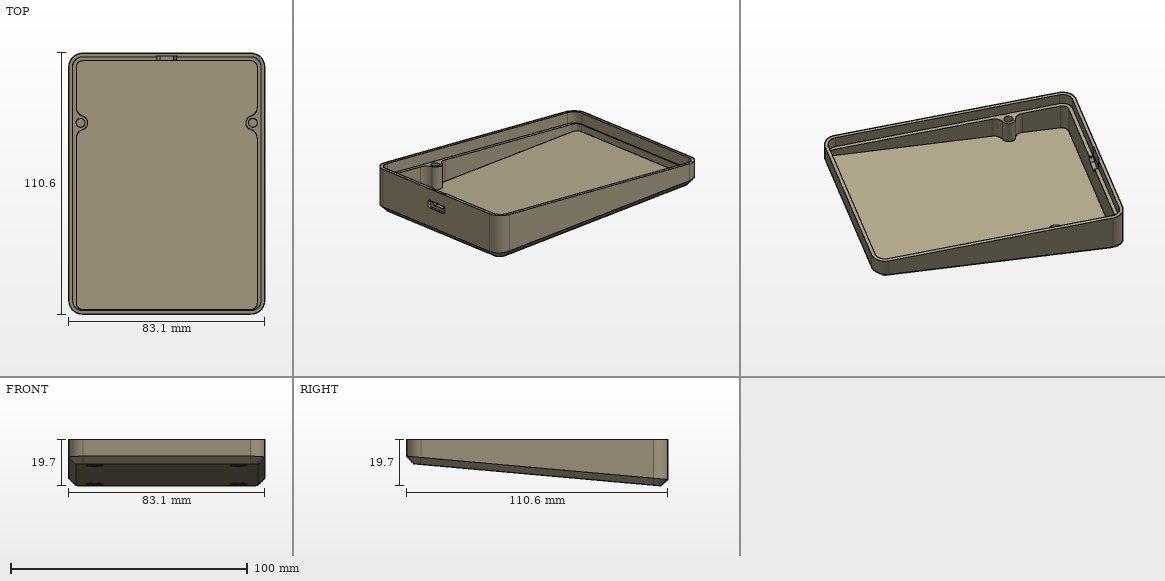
import cadquery as cq
import math

WIDTH = 83.1
LENGTH = 110.6
HEIGHT = 19.7
CORNER_RADIUS = 6.0
TILT = 5.1
CHAMFER = 3.0

RIM_WALL = 1.5
SIDE_WALL = 3.2
FRONT_WALL = 2.0
LEDGE_DEPTH = 5.0
FLOOR_THICKNESS = 2.1

BOSS_RADIUS = 3.0
BOSS_HOLE_DIAMETER = 3.8
BOSS_HOLE_BOTTOM = 13.3
BOSS_X = 36.5
BOSS_Y = 25.8
BOSS_BLEND_RADIUS = 4.0

PORT_WIDTH = 8.4
RELIEF_BOTTOM = 7.3
PORT_CHAMFER = 1.3
PORT_SKIN = 1.2
PORT_CLEARANCE = 1.1
PLUG_WIDTH = 11.1
PLUG_TOP = 5.3
PLUG_BOTTOM = 8.6
PLUG_RADIUS = 0.9

FOOT_DIAMETER = 7.0
FOOT_DEPTH = 0.3
FOOT_INSET = 11.1

SLOPE = math.tan(math.radians(TILT))
BACK_Y = LENGTH / 2
BACK_DEPTH = HEIGHT + CHAMFER * math.sin(math.radians(TILT))
MID_DEPTH = BACK_DEPTH - SLOPE * BACK_Y
FLOOR_MID_DEPTH = MID_DEPTH - FLOOR_THICKNESS / math.cos(math.radians(TILT))
TALL = 2 * HEIGHT


def above_slope(mid_depth):
    """Space below the rim plane and above a tilted plane at mid_depth under the origin."""
    return (
        cq.Workplane("YZ")
        .polyline([
            (-LENGTH, 0),
            (LENGTH, 0),
            (LENGTH, -mid_depth - SLOPE * LENGTH),
            (-LENGTH, -mid_depth + SLOPE * LENGTH),
        ])
        .close()
        .extrude(WIDTH, both=True)
    )


def rounded_block(width, y_min, y_max, radius, depth):
    """Block with rounded vertical corners hanging down from the rim plane."""
    return (
        cq.Workplane("XY")
        .center(0, (y_min + y_max) / 2)
        .rect(width, y_max - y_min)
        .extrude(-depth)
        .edges("|Z")
        .fillet(radius)
    )


def make_body():
    block = rounded_block(WIDTH, -BACK_Y, BACK_Y, CORNER_RADIUS, TALL)
    return block.intersect(above_slope(MID_DEPTH)).faces("<Z").chamfer(CHAMFER)


def boss_post(side):
    """Boss outline joined to its side wall by two concave blends."""
    wall_x = WIDTH / 2 - SIDE_WALL
    blend_x = wall_x - BOSS_BLEND_RADIUS
    reach = BOSS_RADIUS + BOSS_BLEND_RADIUS
    blend_dy = math.sqrt(reach**2 - (BOSS_X - blend_x) ** 2)
    share = BOSS_RADIUS / reach
    touch_x = BOSS_X + share * (blend_x - BOSS_X)
    touch_dy = share * blend_dy
    mid_angle = math.atan2(touch_dy - blend_dy, touch_x - blend_x) / 2
    mid_x = blend_x + BOSS_BLEND_RADIUS * math.cos(mid_angle)
    mid_dy = blend_dy + BOSS_BLEND_RADIUS * math.sin(mid_angle)
    post = (
        cq.Workplane("XY")
        .moveTo(wall_x, BOSS_Y + blend_dy)
        .threePointArc((mid_x, BOSS_Y + mid_dy), (touch_x, BOSS_Y + touch_dy))
        .threePointArc((BOSS_X - BOSS_RADIUS, BOSS_Y), (touch_x, BOSS_Y - touch_dy))
        .threePointArc((mid_x, BOSS_Y - mid_dy), (wall_x, BOSS_Y - blend_dy))
        .close()
        .extrude(-TALL)
    )
    return post if side > 0 else post.mirror("YZ")


def make_cavity():
    cavity = rounded_block(
        WIDTH - 2 * SIDE_WALL,
        -BACK_Y + FRONT_WALL,
        BACK_Y - SIDE_WALL,
        CORNER_RADIUS - SIDE_WALL,
        TALL,
    )
    for side in (-1, 1):
        hole = (
            cq.Workplane("XY")
            .center(side * BOSS_X, BOSS_Y)
            .circle(BOSS_HOLE_DIAMETER / 2)
            .extrude(-BOSS_HOLE_BOTTOM)
        )
        cavity = cavity.cut(boss_post(side)).union(hole)
    return cavity.intersect(above_slope(FLOOR_MID_DEPTH))


def make_rim_recess():
    inner_y = BACK_Y - RIM_WALL
    return rounded_block(
        WIDTH - 2 * RIM_WALL, -inner_y, inner_y, CORNER_RADIUS - RIM_WALL, LEDGE_DEPTH
    )


def make_port_relief():
    """Slot with chamfered lower corners, open at the rim and stopping short of the outer skin."""
    depth = SIDE_WALL + PORT_CLEARANCE - PORT_SKIN
    return (
        cq.Workplane("XY")
        .box(PORT_WIDTH, depth, RELIEF_BOTTOM, centered=(True, False, False))
        .translate((0, BACK_Y - PORT_SKIN - depth, -RELIEF_BOTTOM))
        .faces("<Z")
        .edges("|Y")
        .chamfer(PORT_CHAMFER)
    )


def make_plug_opening():
    """Wider rounded opening through the thin skin behind the relief."""
    return (
        cq.Workplane("XY")
        .box(PLUG_WIDTH, PORT_SKIN, PLUG_BOTTOM - PLUG_TOP, centered=(True, False, False))
        .translate((0, BACK_Y - PORT_SKIN, -PLUG_BOTTOM))
        .edges("|Y")
        .fillet(PLUG_RADIUS)
    )


def make_foot_recesses():
    foot_x = WIDTH / 2 - FOOT_INSET
    foot_y = BACK_Y - FOOT_INSET
    underside = cq.Workplane("XY").transformed(rotate=(-TILT, 0, 0), offset=(0, 0, -MID_DEPTH))
    return (
        underside
        .rect(2 * foot_x, 2 * foot_y, forConstruction=True)
        .vertices()
        .circle(FOOT_DIAMETER / 2)
        .extrude(FOOT_DEPTH)
    )


result = (
    make_body()
    .cut(make_rim_recess())
    .cut(make_cavity())
    .cut(make_port_relief())
    .cut(make_plug_opening())
    .cut(make_foot_recesses())
)